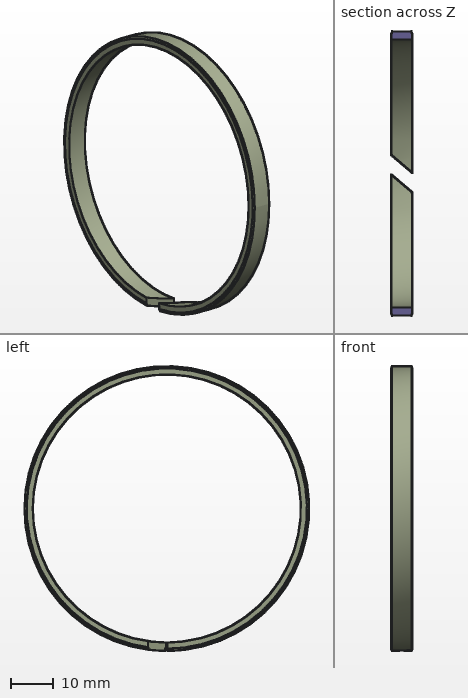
import cadquery as cq

width = 5.0
outer_diameter = 67.0
inner_diameter = 63.0

chamfer_axial = 0.2
chamfer_radial = 0.55

tip_offset = 0.15
heel_offset = 4.4

outer_radius = outer_diameter / 2
inner_radius = inner_diameter / 2
half_width = width / 2


def ring_body():
    """Revolve the chamfered strip section around the X axis."""
    rim_radius = outer_radius - chamfer_radial
    crown_half_width = half_width - chamfer_axial
    section = cq.Workplane("XY").polyline([
        (-half_width, inner_radius),
        (half_width, inner_radius),
        (half_width, rim_radius),
        (crown_half_width, outer_radius),
        (-crown_half_width, outer_radius),
        (-half_width, rim_radius),
    ]).close()
    return section.revolve(360, (0, 0, 0), (1, 0, 0))


def slanted_gap():
    """Parallelogram prism that parts the lower side of the ring."""
    outline = cq.Workplane("XY").polyline([
        (-half_width, -tip_offset),
        (-half_width, heel_offset),
        (half_width, tip_offset),
        (half_width, -heel_offset),
    ]).close()
    return outline.extrude(-outer_diameter)


result = ring_body().cut(slanted_gap())